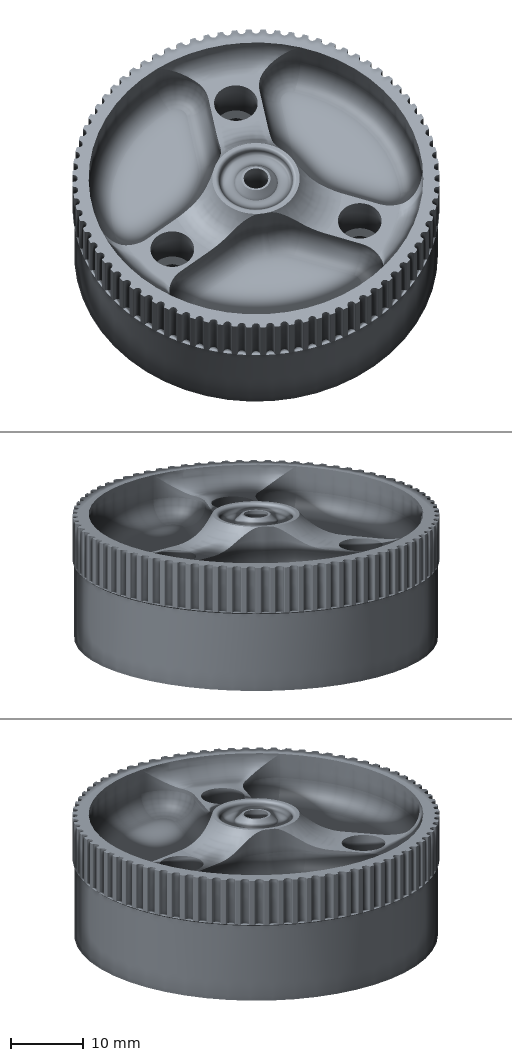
import cadquery as cq
import math

height = 17.75
tooth_ring_radius = 25.2
body_radius = 25.0
rim_inner_radius = 23.0
blend_radius = 2.95

tooth_count = 80
tooth_band_height = 6.5
groove_radius = 0.55
groove_depth = 0.7
tooth_tip_radius = 0.15

deck_z = height - blend_radius
hub_radius = 6.0
hub_foot_radius = 11.8

hub_bore_diameter = 3.4
recess_depth = 1.0
recess_radius = 5.05
recess_edge_radius = recess_depth / 2
centre_boss_diameter = 4.0

spoke_count = 3
spoke_half_width = 3.6
bolt_circle_radius = 15.1
bolt_hole_diameter = 3.4
counterbore_diameter = 6.0
counterbore_seat_z = height / 2
pocket_floor_z = height - tooth_band_height
pocket_rim_corner_radius = 4.5
pocket_hub_corner_radius = 7.6

spoke_pitch = 360 / spoke_count
first_spoke_angle = 30.0


def make_revolved_body():
    """Turn the solid wheel: rim, web, hub and the raised centre in its recess."""
    band_bottom_z = height - tooth_band_height
    undercut = tooth_ring_radius - body_radius
    cos_45 = math.sqrt(0.5)

    flare_width = hub_foot_radius - hub_radius
    flare_height = height - deck_z
    flare_radius = (flare_width**2 + flare_height**2) / (2 * flare_height)
    flare_half_angle = math.asin(flare_width / flare_radius) / 2
    flare_mid = (
        hub_foot_radius - flare_radius * math.sin(flare_half_angle),
        deck_z + flare_radius * (1 - math.cos(flare_half_angle)),
    )

    rim_arc_centre_r = rim_inner_radius - blend_radius
    rim_arc_mid = (rim_arc_centre_r + blend_radius * cos_45, height - blend_radius * cos_45)

    recess_floor_z = height - recess_depth
    edge_mid_z = height - recess_edge_radius
    edge_step = recess_edge_radius * (1 - cos_45)
    lip_mid = (recess_radius + edge_step, height - edge_step)
    root_mid = (recess_radius - edge_step, recess_floor_z + edge_step)

    boss_top_radius = centre_boss_diameter / 2
    boss_foot_radius = boss_top_radius + recess_depth
    profile = (
        cq.Workplane("XZ")
        .lineTo(body_radius, 0)
        .lineTo(body_radius, band_bottom_z - undercut)
        .lineTo(tooth_ring_radius, band_bottom_z)
        .lineTo(tooth_ring_radius, height)
        .lineTo(rim_inner_radius, height)
        .threePointArc(rim_arc_mid, (rim_arc_centre_r, deck_z))
        .lineTo(hub_foot_radius, deck_z)
        .threePointArc(flare_mid, (hub_radius, height))
        .lineTo(recess_radius + recess_edge_radius, height)
        .threePointArc(lip_mid, (recess_radius, edge_mid_z))
        .threePointArc(root_mid, (recess_radius - recess_edge_radius, recess_floor_z))
        .lineTo(boss_foot_radius, recess_floor_z)
        .lineTo(boss_top_radius, height)
        .lineTo(0, height)
        .close()
    )
    return profile.revolve(360, (0, 0, 0), (0, 1, 0))


def make_pocket():
    """Rounded pocket between two spokes, centred on +Y."""
    depth = height - pocket_floor_z
    apex_y = spoke_half_width / math.cos(math.radians(first_spoke_angle))
    reach = 2 * tooth_ring_radius
    side_x = reach * math.cos(math.radians(first_spoke_angle))
    side_y = apex_y + reach * math.sin(math.radians(first_spoke_angle))
    floor_plane = cq.Workplane("XY").workplane(offset=pocket_floor_z)

    wedge = (
        floor_plane.moveTo(0, apex_y)
        .lineTo(side_x, side_y)
        .lineTo(-side_x, side_y)
        .close()
        .extrude(depth)
    )
    ring = floor_plane.circle(rim_inner_radius).circle(hub_radius).extrude(depth)
    pocket = ring.intersect(wedge)

    hub_corners = cq.selectors.BoxSelector((-reach, 0, 0), (reach, hub_foot_radius, height))
    rim_corners = cq.selectors.BoxSelector((-reach, hub_foot_radius, 0), (reach, reach, height))
    pocket = pocket.edges("|Z").edges(rim_corners).fillet(pocket_rim_corner_radius)
    pocket = pocket.edges("|Z").edges(hub_corners).fillet(pocket_hub_corner_radius)
    return pocket.faces("<Z").edges().fillet(blend_radius)


def make_tooth_grooves():
    """Round-bottomed belt grooves with rounded mouths, open at the top face."""
    root_radius = tooth_ring_radius - groove_depth
    root_arc_centre_x = root_radius + groove_radius

    tip_centre_y = groove_radius + tooth_tip_radius
    tip_centre_distance = tooth_ring_radius - tooth_tip_radius
    tip_centre_x = math.sqrt(tip_centre_distance**2 - tip_centre_y**2)
    tip_centre_angle = math.atan2(tip_centre_y, tip_centre_x)
    mouth_x = tooth_ring_radius * math.cos(tip_centre_angle)
    mouth_y = tooth_ring_radius * math.sin(tip_centre_angle)
    tip_mid_angle = (tip_centre_angle - math.pi / 2) / 2
    tip_mid_x = tip_centre_x + tooth_tip_radius * math.cos(tip_mid_angle)
    tip_mid_y = tip_centre_y + tooth_tip_radius * math.sin(tip_mid_angle)
    clear_x = tooth_ring_radius + groove_depth

    groove = (
        cq.Workplane("XY")
        .workplane(offset=height - tooth_band_height)
        .moveTo(clear_x, mouth_y)
        .lineTo(mouth_x, mouth_y)
        .threePointArc((tip_mid_x, tip_mid_y), (tip_centre_x, groove_radius))
        .lineTo(root_arc_centre_x, groove_radius)
        .threePointArc((root_radius, 0), (root_arc_centre_x, -groove_radius))
        .lineTo(tip_centre_x, -groove_radius)
        .threePointArc((tip_mid_x, -tip_mid_y), (mouth_x, -mouth_y))
        .lineTo(clear_x, -mouth_y)
        .close()
        .extrude(tooth_band_height)
        .val()
    )
    around_ring = cq.Workplane("XY").polarArray(0, 0, 360, tooth_count)
    return around_ring.eachpoint(lambda location: groove.moved(location))


def make_holes():
    """Centre bore and the counterbored bolt hole in each spoke."""
    bolt_points = cq.Workplane("XY").polarArray(bolt_circle_radius, first_spoke_angle, 360, spoke_count)
    holes = bolt_points.circle(bolt_hole_diameter / 2).extrude(height)
    counterbores = (
        cq.Workplane("XY")
        .workplane(offset=counterbore_seat_z)
        .polarArray(bolt_circle_radius, first_spoke_angle, 360, spoke_count)
        .circle(counterbore_diameter / 2)
        .extrude(height - counterbore_seat_z)
    )
    bore = cq.Workplane("XY").circle(hub_bore_diameter / 2).extrude(height)
    return holes.union(counterbores).union(bore)


result = make_revolved_body()
pocket = make_pocket()
for index in range(spoke_count):
    result = result.cut(pocket.rotate((0, 0, 0), (0, 0, 1), index * spoke_pitch))
result = result.cut(make_holes()).cut(make_tooth_grooves())